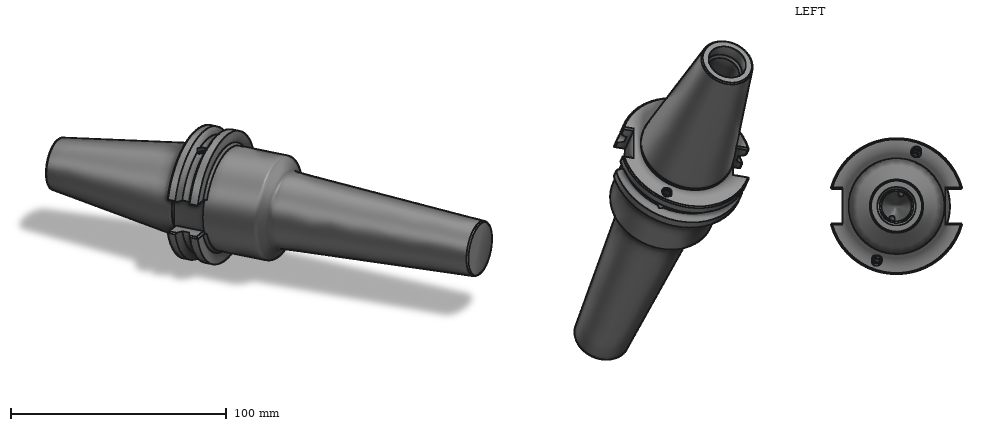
import cadquery as cq
import math

total_length = 218.2

shank_end_radius = 12.5
shank_chamfer = 0.7
gauge_radius = 22.3
gauge_x = 68.3
gauge_land = 1.5
neck_radius = 21.8

flange_x = 71.4
flange_width = 16.0
flange_radius = 31.6
flange_chamfer = 0.7
groove_x = 79.5
groove_floor_radius = 28.2
groove_floor_width = 3.5
groove_flank_angle = 30.0

collar_length = 1.3
body_radius = 24.9
shoulder_x = 114.5
shoulder_angle = 60.0
shoulder_round = 2.2

nose_tip_radius = 13.0
nose_taper_angle = 3.0
nose_root_round = 1.7
nose_chamfer_length = 0.9
nose_chamfer_drop = 0.5

slot_width = 15.7
front_slot_floor = 22.7
back_slot_floor = 25.0
slot_edge_chamfer = 0.9

pilot_radius = 9.0
pilot_depth = 6.5
thread_radius = 7.9
thread_depth = 30.5
core_radius = 7.0
core_depth = 79.7
drill_point_angle = 59.0

coolant_angle = 20.0
coolant_radius = 1.5
plug_radius = 2.5
plug_depth = 2.2
face_hole_pitch_radius = 26.8
face_hole_tilt = 20.0
groove_hole_radius = 2.2
groove_hole_depth = 2.2

flange_end_x = flange_x + flange_width
cut_overlap = 2.2


def tan(degrees):
    return math.tan(math.radians(degrees))


def revolve_outline(points):
    """Revolve (x, radius) points about X, closing the outline along the axis."""
    end_x, end_radius = points[-1]
    outline = [(points[0][0], 0)] + points
    if end_radius > 0:
        outline.append((end_x, 0))
    return cq.Workplane("XY").polyline(outline).close().revolve(360, (0, 0, 0), (1, 0, 0))


def make_shank():
    land_end_x = gauge_x + gauge_land
    return revolve_outline([
        (0, shank_end_radius - shank_chamfer),
        (shank_chamfer, shank_end_radius),
        (gauge_x, gauge_radius),
        (land_end_x, gauge_radius),
        (land_end_x, neck_radius),
        (flange_x, neck_radius),
    ])


def make_flange():
    """Grooved flange and the collar cone that runs down to the body."""
    half_floor = groove_floor_width / 2
    half_mouth = half_floor + (flange_radius - groove_floor_radius) * tan(groove_flank_angle)
    return revolve_outline([
        (flange_x, flange_radius - flange_chamfer),
        (flange_x + flange_chamfer, flange_radius),
        (groove_x - half_mouth, flange_radius),
        (groove_x - half_floor, groove_floor_radius),
        (groove_x + half_floor, groove_floor_radius),
        (groove_x + half_mouth, flange_radius),
        (flange_end_x, flange_radius),
        (flange_end_x, body_radius + collar_length),
        (flange_end_x + collar_length, body_radius),
    ])


def make_slot(side, floor):
    """Drive slot cutter on one Y side, flared to chamfer the wall edges at both faces and the rim."""
    half = slot_width / 2
    flared_half = half + slot_edge_chamfer
    collar_end_x = flange_end_x + collar_length
    top = flange_radius + cut_overlap
    upper_wall = [
        (flange_x, flared_half),
        (flange_x + slot_edge_chamfer, half),
        (flange_end_x - slot_edge_chamfer, half),
        (flange_end_x, flared_half),
        (collar_end_x, flared_half),
    ]
    lower_wall = [(x, -z) for x, z in reversed(upper_wall)]
    slot = cq.Workplane("XZ", origin=(0, side * floor, 0)).polyline(upper_wall + lower_wall).close()
    slot = slot.extrude(-side * (top - floor))

    flare_start = math.sqrt(flange_radius**2 - half**2) - slot_edge_chamfer
    half_top = half + top - flare_start
    rim = [(flare_start, -half), (top, -half_top), (top, half_top), (flare_start, half)]
    flare = cq.Workplane("YZ", origin=(flange_x, 0, 0)).polyline([(side * y, z) for y, z in rim]).close()
    return slot.union(flare.extrude(flange_width))


def make_body():
    """Cylinder, conical shoulder and tapered nose, with both shoulder corners rounded."""
    steep = tan(shoulder_angle)
    shallow = tan(nose_taper_angle)
    nose_radius_at_shoulder = nose_tip_radius + (total_length - shoulder_x) * shallow
    root_x = shoulder_x + (body_radius - nose_radius_at_shoulder) / (steep - shallow)
    root_radius = body_radius - (root_x - shoulder_x) * steep
    chamfer_x = total_length - nose_chamfer_length
    chamfer_radius = nose_tip_radius + nose_chamfer_length * shallow
    body = revolve_outline([
        (flange_end_x, body_radius),
        (shoulder_x, body_radius),
        (root_x, root_radius),
        (chamfer_x, chamfer_radius),
        (total_length, nose_tip_radius - nose_chamfer_drop),
    ])
    for corner_x, radius in [(shoulder_x, shoulder_round), (root_x, nose_root_round)]:
        corner = cq.selectors.NearestToPointSelector((corner_x, 0, 0))
        body = body.edges(corner).fillet(radius)
    return body


def make_bore():
    point_length = core_radius / tan(drill_point_angle)
    return revolve_outline([
        (0, pilot_radius),
        (pilot_depth, pilot_radius),
        (pilot_depth + pilot_radius - thread_radius, thread_radius),
        (thread_depth, thread_radius),
        (thread_depth + thread_radius - core_radius, core_radius),
        (core_depth, core_radius),
        (core_depth + point_length, 0),
    ])


def make_cylinder(radius, start, direction, length):
    return cq.Workplane(cq.Solid.makeCylinder(radius, length, start, direction))


def make_coolant_passage(half_turn):
    """Stepped radial hole from the groove and stepped inclined hole from the flange face."""
    inward = cq.Vector(0, 0, -1)
    groove_mouth = cq.Vector(groove_x, 0, groove_floor_radius)
    passage = make_cylinder(coolant_radius, groove_mouth, inward, groove_floor_radius)
    above_groove = groove_mouth - inward * cut_overlap
    recess_length = cut_overlap + groove_hole_depth
    passage = passage.union(make_cylinder(groove_hole_radius, above_groove, inward, recess_length))

    tilt = math.radians(face_hole_tilt)
    inclined = cq.Vector(math.cos(tilt), 0, -math.sin(tilt))
    outside = cq.Vector(flange_x, 0, face_hole_pitch_radius) - inclined * cut_overlap
    reach = cut_overlap + (groove_x - flange_x) / math.cos(tilt)
    passage = passage.union(make_cylinder(coolant_radius, outside, inclined, reach))
    passage = passage.union(make_cylinder(plug_radius, outside, inclined, cut_overlap + plug_depth))
    return passage.rotate((0, 0, 0), (1, 0, 0), coolant_angle + half_turn)


result = make_shank().union(make_flange())
result = result.cut(make_slot(-1, front_slot_floor))
result = result.cut(make_slot(1, back_slot_floor))
result = result.union(make_body())
result = result.cut(make_bore())
for half_turn in (0, 180):
    result = result.cut(make_coolant_passage(half_turn))